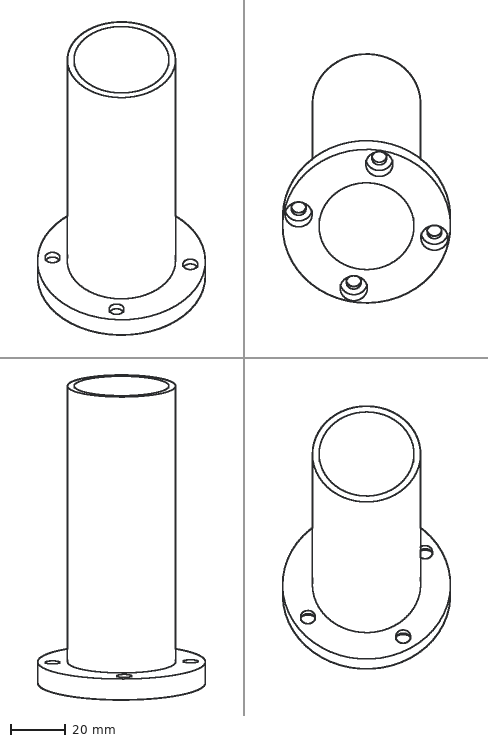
import cadquery as cq

total_height = 112.0
flange_diameter = 62.0
flange_thickness = 8.0
tube_outer_diameter = 40.0
tube_inner_diameter = 35.0

bolt_hole_count = 4
bolt_hole_diameter = 5.5
counterbore_diameter = 10.0
counterbore_depth = 5.5
first_bolt_angle = 45

bolt_circle_diameter = (tube_outer_diameter + flange_diameter) / 2


def cylinder(diameter, height):
    """Upright cylinder on the Z axis, standing on Z = 0."""
    return cq.Workplane("XY").circle(diameter / 2).extrude(height)


def bolt_pattern(diameter, height):
    """Upright cylinders evenly spaced on the bolt circle, standing on Z = 0."""
    return (
        cq.Workplane("XY")
        .polarArray(bolt_circle_diameter / 2, first_bolt_angle, 360, bolt_hole_count, rotate=False)
        .circle(diameter / 2)
        .extrude(height)
    )


body = cylinder(flange_diameter, flange_thickness).union(cylinder(tube_outer_diameter, total_height))

body = body.cut(cylinder(tube_inner_diameter, total_height))

body = body.cut(bolt_pattern(bolt_hole_diameter, flange_thickness))
body = body.cut(bolt_pattern(counterbore_diameter, counterbore_depth))

result = body